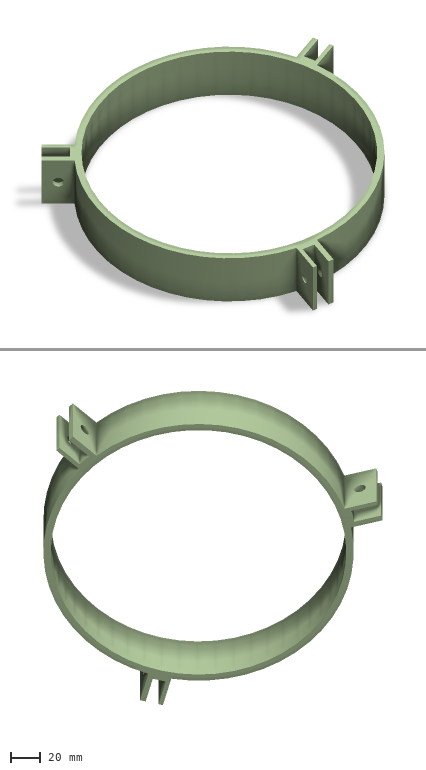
import cadquery as cq

height = 40.0
inner_diameter = 200.0
outer_diameter = 210.0
outer_radius = outer_diameter / 2

overall_length = 232.0
lug_tip_radius = overall_length - outer_radius
lug_width = 16.0
slot_width = 9.0
slot_offset = -0.5
slot_floor_radius = 107.9

pin_edge_distance = 11.4
pin_radius_position = lug_tip_radius - pin_edge_distance
hole_diameters = (6.0, 8.0, 8.0)


def block(start, end, width):
    """Full-height block along +X between two radii, centred on the X axis."""
    bar = cq.Workplane("XY").box(end - start, width, height, centered=(False, True, False))
    return bar.translate((start, 0, 0))


def pin_hole(diameter):
    """Pin cylinder along Y that crosses both cheeks."""
    centre = cq.Vector(pin_radius_position, -lug_width / 2, height / 2)
    return cq.Workplane(cq.Solid.makeCylinder(diameter / 2, lug_width, centre, cq.Vector(0, 1, 0)))


def make_lug(hole_diameter):
    """Slotted lug on the +X side, rooted inside the ring wall."""
    root_radius = (inner_diameter + outer_diameter) / 4
    lug = block(root_radius, lug_tip_radius, lug_width)
    slot = block(slot_floor_radius, lug_tip_radius, slot_width).translate((0, slot_offset, 0))
    return lug.cut(slot).cut(pin_hole(hole_diameter))


result = cq.Workplane("XY").circle(outer_radius).circle(inner_diameter / 2).extrude(height)
for index, hole_diameter in enumerate(hole_diameters):
    lug = make_lug(hole_diameter)
    angle = index * 360 / len(hole_diameters)
    result = result.union(lug.rotate((0, 0, 0), (0, 0, 1), angle))